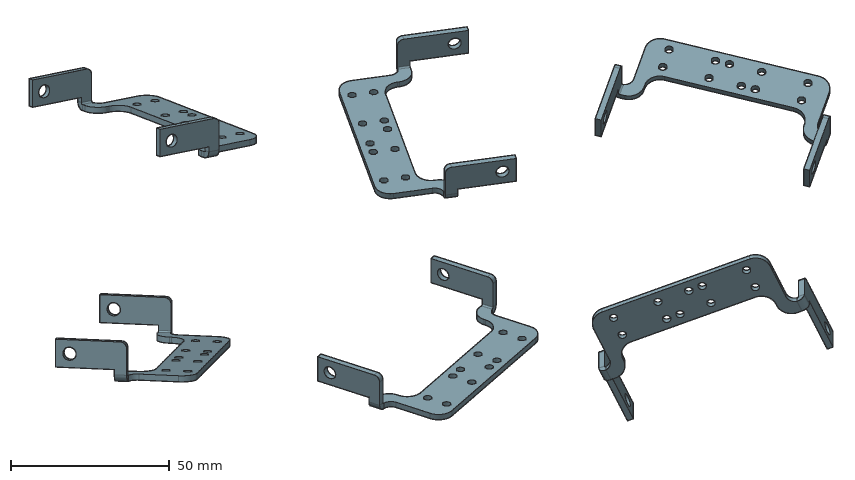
import cadquery as cq
import math

overall_width = 70.5
overall_depth = 43.5
overall_height = 13.14
thickness = 2.0

plate_width = 60.5
plate_depth = 14.0
corner_radius = 5.0

leg_width = 4.0
tab_width = 4.0
tab_front = 24.6
outer_neck_radius = 3.0
inner_neck_radius = 5.0

bend_inner_radius = 0.5
bend_outer_radius = bend_inner_radius + thickness

arm_height = 9.0
arm_corner_radius = 2.0
arm_hole_diameter = 4.2
arm_hole_edge_distance = 4.5

plate_hole_diameter = 2.6
grid_columns = 4
grid_rows = 2
column_pitch = 15.2
row_pitch = 7.0
extra_hole_offset = 3.0

half_width = overall_width / 2
half_plate = plate_width / 2
leg_inner_x = half_plate - leg_width
bend_start_x = half_width - bend_outer_radius
tab_rear = tab_front - tab_width


def make_half_plate():
    """Right half of the flat sheet, from the centre plane to the start of the bend.

    The outer neck arc is cut off by the bend line just before it meets the tab's rear edge.
    """
    neck_center_x = half_plate + outer_neck_radius
    neck_start_y = outer_neck_radius - tab_rear
    neck_end_y = neck_start_y - math.sqrt(outer_neck_radius**2 - (neck_center_x - bend_start_x) ** 2)
    return (
        cq.Workplane("XY")
        .moveTo(0, 0)
        .lineTo(half_plate - corner_radius, 0)
        .radiusArc((half_plate, -corner_radius), corner_radius)
        .lineTo(half_plate, neck_start_y)
        .radiusArc((bend_start_x, neck_end_y), -outer_neck_radius)
        .lineTo(bend_start_x, -tab_front)
        .lineTo(leg_inner_x + inner_neck_radius, -tab_front)
        .radiusArc((leg_inner_x, inner_neck_radius - tab_front), inner_neck_radius)
        .lineTo(leg_inner_x, -plate_depth - inner_neck_radius)
        .radiusArc((leg_inner_x - inner_neck_radius, -plate_depth), -inner_neck_radius)
        .lineTo(0, -plate_depth)
        .close()
        .extrude(thickness)
    )


def make_bend():
    """Quarter-round bend turning the right tab from horizontal to vertical."""
    inner_face_x = half_width - thickness
    return (
        cq.Workplane("XZ", origin=(0, -tab_rear, 0))
        .moveTo(bend_start_x, 0)
        .radiusArc((half_width, bend_outer_radius), -bend_outer_radius)
        .lineTo(inner_face_x, bend_outer_radius)
        .radiusArc((bend_start_x, thickness), bend_inner_radius)
        .close()
        .extrude(tab_width)
    )


def make_arm():
    """Right upright arm with its rounded rear corner and pivot hole."""
    hole_y = arm_hole_edge_distance - overall_depth
    hole_z = overall_height - arm_hole_edge_distance
    arm_plane = cq.Workplane("YZ", origin=(half_width - thickness, 0, 0))
    arm = (
        arm_plane
        .moveTo(-tab_rear, bend_outer_radius)
        .lineTo(-tab_rear, overall_height - arm_corner_radius)
        .radiusArc((-tab_rear - arm_corner_radius, overall_height), -arm_corner_radius)
        .lineTo(-overall_depth, overall_height)
        .lineTo(-overall_depth, overall_height - arm_height)
        .lineTo(-tab_front, overall_height - arm_height)
        .lineTo(-tab_front, bend_outer_radius)
        .close()
        .extrude(thickness)
    )
    hole = arm_plane.center(hole_y, hole_z).circle(arm_hole_diameter / 2).extrude(thickness)
    return arm.cut(hole)


def make_plate_holes():
    """Cutters for the hole grid and the extra hole in each row."""
    middle_y = -plate_depth / 2
    rear_row_y = middle_y + row_pitch / 2
    front_row_y = middle_y - row_pitch / 2
    extra_holes = [(-extra_hole_offset, rear_row_y), (extra_hole_offset, front_row_y)]
    radius = plate_hole_diameter / 2
    grid = (
        cq.Workplane("XY", origin=(0, middle_y, 0))
        .rarray(column_pitch, row_pitch, grid_columns, grid_rows)
        .circle(radius)
        .extrude(thickness)
    )
    extras = cq.Workplane("XY").pushPoints(extra_holes).circle(radius).extrude(thickness)
    return grid.union(extras)


right_half_plate = make_half_plate()
plate = right_half_plate.union(right_half_plate.mirror("YZ")).cut(make_plate_holes())
right_flange = make_bend().union(make_arm(), clean=False)
left_flange = right_flange.mirror("YZ")
result = plate.union(right_flange, clean=False).union(left_flange, clean=False)